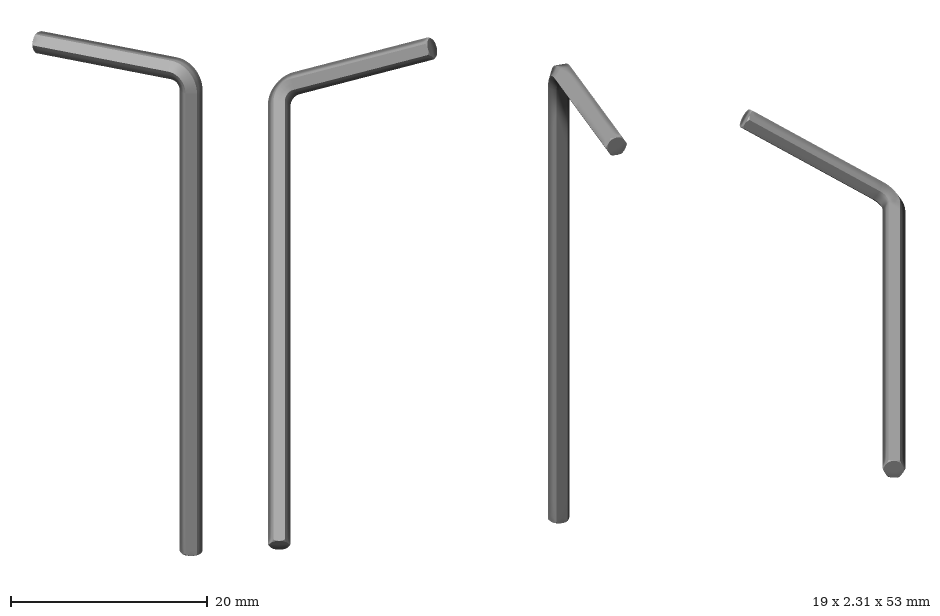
import cadquery as cq
import math

across_flats = 2.0
short_reach = 19.0
long_reach = 53.0
bend_radius = 2.0
tip_chamfer = 0.15

across_corners = across_flats / math.cos(math.radians(30))
half_flats = across_flats / 2
corner_radius = across_corners / 2

short_arm_z = long_reach - half_flats
short_tip_x = half_flats - short_reach
bend_start_z = short_arm_z - bend_radius
bend_mid_offset = bend_radius * math.cos(math.radians(45))


def bent_bar():
    """Hexagon with corners on +/-Y, swept up, round the bend and along -X."""
    path = (
        cq.Workplane("XZ")
        .moveTo(0, 0)
        .lineTo(0, bend_start_z)
        .threePointArc(
            (bend_mid_offset - bend_radius, bend_start_z + bend_mid_offset),
            (-bend_radius, short_arm_z),
        )
        .lineTo(short_tip_x, short_arm_z)
    )
    hexagon = cq.Workplane("XY").transformed(rotate=(0, 0, 90)).polygon(6, across_corners)
    return hexagon.sweep(path)


def tip_cutter(tip, inward):
    """Ring whose conical bore trims a tip to a round face touching the flats."""
    plane = cq.Plane(origin=tip, normal=inward)
    ring = cq.Workplane(plane).circle(across_corners).extrude(tip_chamfer)
    cone = cq.Solid.makeCone(
        half_flats,
        corner_radius,
        tip_chamfer,
        pnt=cq.Vector(*tip),
        dir=cq.Vector(*inward),
    )
    return ring.cut(cq.Workplane(cone))


result = (
    bent_bar()
    .cut(tip_cutter((0, 0, 0), (0, 0, 1)))
    .cut(tip_cutter((short_tip_x, 0, short_arm_z), (1, 0, 0)))
)